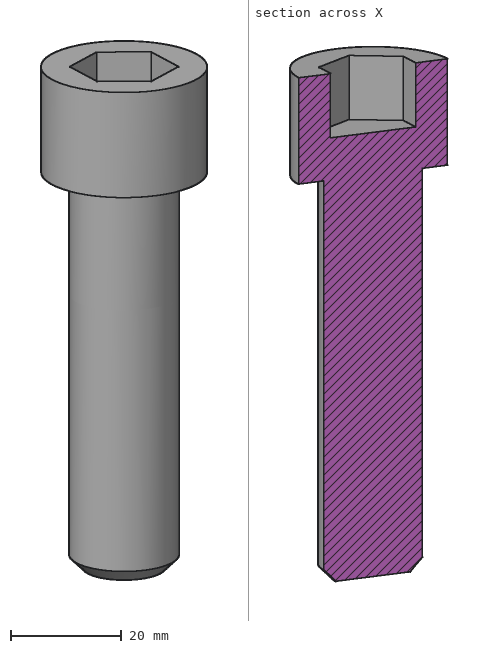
import cadquery as cq
import math

total_length = 95.0
head_diameter = 30.0
head_height = 19.95
shank_diameter = 19.95
thread_length = 52.0
tip_chamfer = 2.5

socket_across_flats = 17.0
socket_depth = 12.0

shank_length = total_length - head_height
plain_length = shank_length - thread_length


def make_head():
    """Cylindrical head resting on the bearing plane at Z = 0."""
    return cq.Workplane("XY").circle(head_diameter / 2).extrude(head_height)


def make_plain_shank():
    """Unthreaded length directly below the head."""
    return cq.Workplane("XY").circle(shank_diameter / 2).extrude(-plain_length)


def make_threaded_shank():
    """Threaded length as a smooth cylinder with a chamfered tip."""
    return (
        cq.Workplane("XY", origin=(0, 0, -shank_length))
        .circle(shank_diameter / 2)
        .extrude(thread_length)
        .faces("<Z")
        .chamfer(tip_chamfer)
    )


def make_socket():
    """Flat-bottomed hexagon with two corners on the X axis."""
    across_corners = socket_across_flats / math.cos(math.pi / 6)
    return (
        cq.Workplane("XY", origin=(0, 0, head_height))
        .polygon(6, across_corners)
        .extrude(-socket_depth)
    )


shank = make_plain_shank().union(make_threaded_shank(), clean=False)
result = make_head().union(shank, clean=False).cut(make_socket(), clean=False)